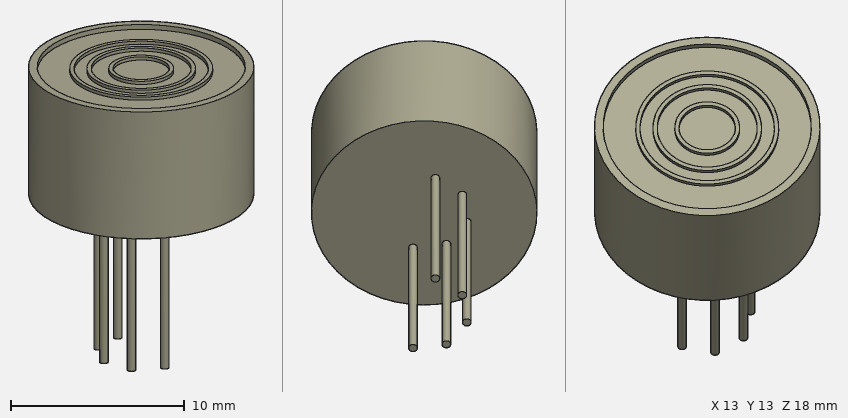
import cadquery as cq
import math

total_height = 18.0
can_diameter = 13.0
can_height = 8.0
pin_length = total_height - can_height

rim_width = 0.5
recess_depth = 0.3

ring_mean_radii = [1.75, 3.0, 4.0]
ring_width = 0.25
ring_height = 0.2

pin_diameter = 0.5
pin_circle_radius = 2.54
pin_count = 5
pin_overlap = 0.18


def make_can():
    can_radius = can_diameter / 2
    can = cq.Workplane("XY").circle(can_radius).extrude(can_height)
    return can.faces(">Z").workplane().circle(can_radius - rim_width).cutBlind(-recess_depth)


def make_ring(mean_radius):
    floor = cq.Workplane("XY").workplane(offset=can_height - recess_depth)
    outer_radius = mean_radius + ring_width / 2
    return floor.circle(outer_radius).circle(outer_radius - ring_width).extrude(ring_height)


def make_pins():
    angle_step = math.pi / (pin_count - 1)
    centers = []
    for index in range(pin_count):
        angle = math.pi + index * angle_step
        centers.append((pin_circle_radius * math.cos(angle), pin_circle_radius * math.sin(angle)))
    pin_ends = cq.Workplane("XY").workplane(offset=-pin_length).pushPoints(centers)
    return pin_ends.circle(pin_diameter / 2).extrude(pin_length + pin_overlap)


result = make_can()
for radius in ring_mean_radii:
    result = result.union(make_ring(radius))
result = result.union(make_pins())